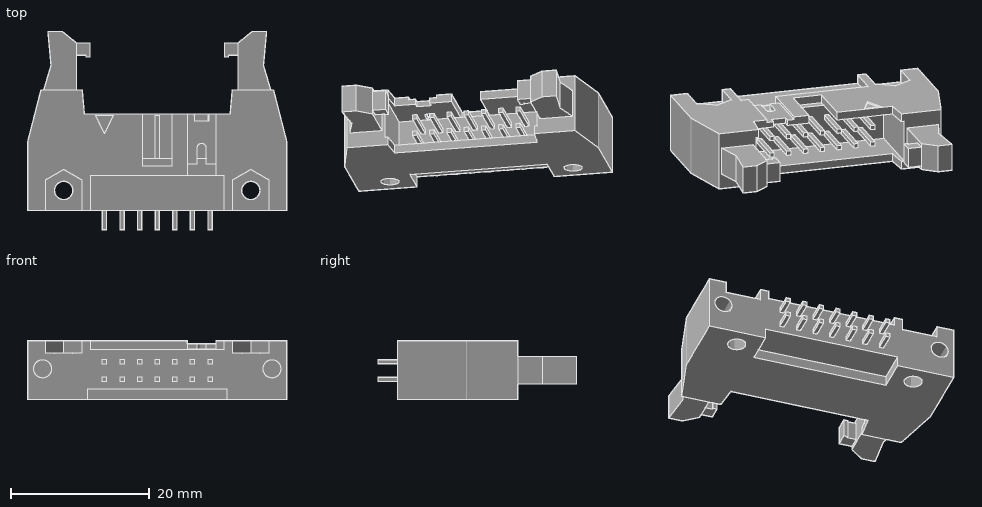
import cadquery as cq
import math

BODY_WIDTH = 37.4
BODY_HEIGHT = 8.5
SHOULDER_Y = 10.0
EAR_TOP_Y = 17.4
EAR_OUTER_X = 16.8
EAR_INNER_TOP_X = 10.8
EAR_INNER_BASE_X = 10.5
RIM_Y = 13.95

WALL = 1.2
SOCKET_WIDTH = 22.4
SOCKET_FLOOR_Y = 7.5
KEY_WIDTH = 4.25
KEY_END_Y = 6.4

PIN_COLUMNS = 7
PITCH = 2.54
PIN_SIZE = 0.64
PIN_TAIL_Y = -2.8
PIN_TIP_Y = 13.7
PIN_MID_Z = 4.2
PIN_MIDDLE_COLUMN = (PIN_COLUMNS - 1) / 2

TAIL_RECESS_LENGTH = 5.05
UPPER_RECESS_WIDTH = 19.2
UPPER_RECESS_DEPTH = 1.3
LOWER_RECESS_WIDTH = 20.2
LOWER_RECESS_DEPTH = 1.55

MOUNT_X = 13.5
MOUNT_Y = 2.9
HOLE_DIAMETER = 2.6
NUT_ACROSS_FLATS = 5.25
NUT_DEPTH = 1.8

TAIL_HOLE_X = 16.55
TAIL_HOLE_Z = 4.45
TAIL_HOLE_DEPTH = 6.0

GROOVE_X = 6.4
GROOVE_WIDTH = 4.1
GROOVE_DEPTH = 0.4
GROOVE_STEP_Y = 6.7
SLOT_WIDTH = 1.3
SLOT_END_Y = 9.7
NOTCH_WIDTH = 2.1
NOTCH_LENGTH = 1.0

MARK_WIDTH = 2.56
MARK_BASE_Y = 13.7
MARK_TIP_Y = 11.1
MARK_DEPTH = 0.2

LATCH_TOP_Y = 25.85
LATCH_THICKNESS = 4.0
LATCH_INNER_X = 11.65
LATCH_ROOT_X = 16.4
LATCH_WAIST_X = 15.35
LATCH_WAIST_Y = 20.95
LATCH_TIP_OUTER_X = 15.8
LATCH_TIP_INNER_X = 13.7
HOOK_TOP_Y = 24.2
HOOK_BASE_Y = 22.4
HOOK_END_X = 9.7
HOOK_HEIGHT = 2.9
BARB_WIDTH = 0.6
BARB_DROP = 0.25

MID_Z = BODY_HEIGHT / 2


def box(x_mid, width, y_from, y_to, z_from, z_to):
    """Axis-aligned block, centred on x_mid along X."""
    size = (width, y_to - y_from, z_to - z_from)
    return cq.Workplane("XY").box(*size, centered=(True, False, False)).translate((x_mid, y_from, z_from))


def prism(points, z_from, z_to):
    """Upright block with a straight-sided outline in X and Y."""
    return cq.Workplane("XY").workplane(offset=z_from).polyline(points).close().extrude(z_to - z_from)


def make_body():
    right_half = [
        (BODY_WIDTH / 2, 0),
        (BODY_WIDTH / 2, SHOULDER_Y),
        (EAR_OUTER_X, EAR_TOP_Y),
        (EAR_INNER_TOP_X, EAR_TOP_Y),
        (EAR_INNER_BASE_X, RIM_Y),
    ]
    left_half = [(-x, y) for x, y in reversed(right_half)]
    return prism(right_half + left_half, 0, BODY_HEIGHT)


def cut_socket(body):
    socket = box(0, SOCKET_WIDTH, SOCKET_FLOOR_Y, EAR_TOP_Y, WALL, BODY_HEIGHT - WALL)
    key = box(0, KEY_WIDTH, KEY_END_Y, RIM_Y, BODY_HEIGHT - WALL, BODY_HEIGHT)
    return body.cut(socket).cut(key)


def cut_tail_recesses(body):
    upper = box(0, UPPER_RECESS_WIDTH, 0, TAIL_RECESS_LENGTH, BODY_HEIGHT - UPPER_RECESS_DEPTH, BODY_HEIGHT)
    lower = box(0, LOWER_RECESS_WIDTH, 0, TAIL_RECESS_LENGTH, 0, LOWER_RECESS_DEPTH)
    return body.cut(upper).cut(lower)


def cut_mounting(body, side):
    """Through hole in a nut pocket that is open to the tail face."""
    x = side * MOUNT_X
    floor_z = BODY_HEIGHT - NUT_DEPTH
    corner_diameter = NUT_ACROSS_FLATS / math.cos(math.pi / 6)
    hole = cq.Workplane("XY").center(x, MOUNT_Y).circle(HOLE_DIAMETER / 2).extrude(BODY_HEIGHT)
    nut = cq.Workplane("XY").polygon(6, corner_diameter).extrude(NUT_DEPTH)
    nut = nut.rotate((0, 0, 0), (0, 0, 1), 90).translate((x, MOUNT_Y, floor_z))
    mouth = box(x, NUT_ACROSS_FLATS, 0, MOUNT_Y, floor_z, BODY_HEIGHT)
    return body.cut(hole).cut(nut).cut(mouth)


def cut_tail_hole(body, side):
    hole = cq.Workplane("XZ").center(side * TAIL_HOLE_X, TAIL_HOLE_Z).circle(HOLE_DIAMETER / 2)
    return body.cut(hole.extrude(-TAIL_HOLE_DEPTH))


def cut_groove(body):
    """Shallow groove with a deep step, a round-ended slot into the socket and a rim notch."""
    ceiling_z = BODY_HEIGHT - WALL
    groove = box(GROOVE_X, GROOVE_WIDTH, GROOVE_STEP_Y, RIM_Y, BODY_HEIGHT - GROOVE_DEPTH, BODY_HEIGHT)
    step = box(GROOVE_X, GROOVE_WIDTH, TAIL_RECESS_LENGTH, GROOVE_STEP_Y, ceiling_z, BODY_HEIGHT)
    arc_y = SLOT_END_Y - SLOT_WIDTH / 2
    slot = box(GROOVE_X, SLOT_WIDTH, GROOVE_STEP_Y, arc_y, ceiling_z, BODY_HEIGHT)
    slot_end = cq.Workplane("XY").circle(SLOT_WIDTH / 2).extrude(WALL).translate((GROOVE_X, arc_y, ceiling_z))
    notch = box(GROOVE_X, NOTCH_WIDTH, RIM_Y - NOTCH_LENGTH, RIM_Y, ceiling_z, BODY_HEIGHT)
    return body.cut(groove).cut(step).cut(slot).cut(slot_end).cut(notch)


def cut_pin_one_mark(body):
    x = -PIN_MIDDLE_COLUMN * PITCH
    points = [
        (x - MARK_WIDTH / 2, MARK_BASE_Y),
        (x + MARK_WIDTH / 2, MARK_BASE_Y),
        (x, MARK_TIP_Y),
    ]
    return body.cut(prism(points, BODY_HEIGHT - MARK_DEPTH, BODY_HEIGHT))


def add_pins(body):
    for column in range(PIN_COLUMNS):
        x = (column - PIN_MIDDLE_COLUMN) * PITCH
        for row in (-0.5, 0.5):
            bottom_z = PIN_MID_Z + row * PITCH - PIN_SIZE / 2
            body = body.union(box(x, PIN_SIZE, PIN_TAIL_Y, PIN_TIP_Y, bottom_z, bottom_z + PIN_SIZE))
    return body


def make_latch(side):
    """Lever rising from an ear, with a barbed hook facing the socket."""
    lever = [
        (LATCH_INNER_X, EAR_TOP_Y),
        (LATCH_ROOT_X, EAR_TOP_Y),
        (LATCH_WAIST_X, LATCH_WAIST_Y),
        (LATCH_TIP_OUTER_X, LATCH_TOP_Y),
        (LATCH_TIP_INNER_X, LATCH_TOP_Y),
        (LATCH_INNER_X, HOOK_TOP_Y),
    ]
    hook = [
        (LATCH_INNER_X, HOOK_TOP_Y),
        (HOOK_END_X, HOOK_TOP_Y),
        (HOOK_END_X, HOOK_BASE_Y - BARB_DROP),
        (HOOK_END_X + BARB_WIDTH, HOOK_BASE_Y - BARB_DROP),
        (HOOK_END_X + BARB_WIDTH, HOOK_BASE_Y),
        (LATCH_INNER_X, HOOK_BASE_Y),
    ]
    lever = [(side * x, y) for x, y in lever]
    hook = [(side * x, y) for x, y in hook]
    latch = prism(lever, MID_Z - LATCH_THICKNESS / 2, MID_Z + LATCH_THICKNESS / 2)
    return latch.union(prism(hook, MID_Z - HOOK_HEIGHT / 2, MID_Z + HOOK_HEIGHT / 2))


result = cut_socket(make_body())
result = cut_tail_recesses(result)
result = cut_groove(result)
result = cut_pin_one_mark(result)
result = add_pins(result)
for mirror_side in (-1, 1):
    result = result.union(make_latch(mirror_side))
    result = cut_mounting(result, mirror_side)
    result = cut_tail_hole(result, mirror_side)